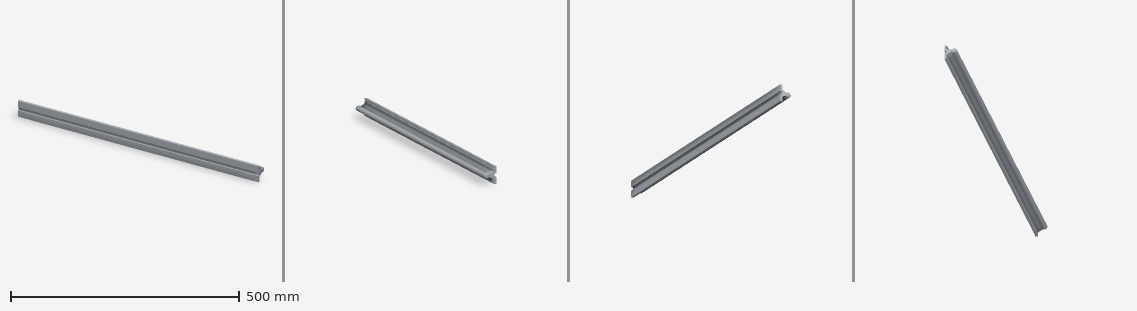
import cadquery as cq
import math

rail_length = 600.0
total_depth = 28.0
flange_width = 40.0

shaft_diameter = 12.0
shaft_radius = shaft_diameter / 2
shaft_chamfer = 2.0

flange_thickness = 5.5
neck_half_width = 3.5
flare_half_width = 8.5
flare_length = 11.0
slot_half_width = 4.0
slot_depth = 4.0
groove_half_width = 1.0
groove_depth = 1.0
groove_center_z = 15.0
shaft_protrusion = 0.5
support_length = rail_length - shaft_protrusion

shaft_center_y = total_depth - shaft_radius
flare_start_y = flange_thickness + flare_length
cradle_edge_y = shaft_center_y - math.sqrt(shaft_radius**2 - neck_half_width**2)
cradle_bottom_y = shaft_center_y - shaft_radius


def make_shaft():
    """Round bar with both end rims chamfered."""
    return (
        cq.Workplane("YZ")
        .center(shaft_center_y, 0)
        .circle(shaft_radius)
        .extrude(rail_length)
        .faces("<X or >X")
        .edges()
        .chamfer(shaft_chamfer)
    )


def make_marking_groove(side):
    """Cutter for the shallow V groove on the back of one flange (side is +1 or -1)."""
    return (
        cq.Workplane("YZ")
        .moveTo(flange_thickness, side * (groove_center_z - groove_half_width))
        .lineTo(flange_thickness - groove_depth, side * groove_center_z)
        .lineTo(flange_thickness, side * (groove_center_z + groove_half_width))
        .close()
        .extrude(support_length)
    )


def make_support():
    """Flanged extrusion with a slotted foot and a round cradle for the shaft."""
    flange_half_width = flange_width / 2
    body = (
        cq.Workplane("YZ")
        .moveTo(0, slot_half_width)
        .lineTo(0, flange_half_width)
        .lineTo(flange_thickness, flange_half_width)
        .lineTo(flange_thickness, flare_half_width)
        .lineTo(flare_start_y, neck_half_width)
        .lineTo(cradle_edge_y, neck_half_width)
        .threePointArc((cradle_bottom_y, 0), (cradle_edge_y, -neck_half_width))
        .lineTo(flare_start_y, -neck_half_width)
        .lineTo(flange_thickness, -flare_half_width)
        .lineTo(flange_thickness, -flange_half_width)
        .lineTo(0, -flange_half_width)
        .lineTo(0, -slot_half_width)
        .lineTo(slot_depth, -slot_half_width)
        .lineTo(slot_depth, slot_half_width)
        .close()
        .extrude(support_length)
    )
    for side in (1, -1):
        body = body.cut(make_marking_groove(side))
    return body


shaft = make_shaft()
support = make_support()
result = cq.Compound.makeCompound([shaft.val(), support.val()])